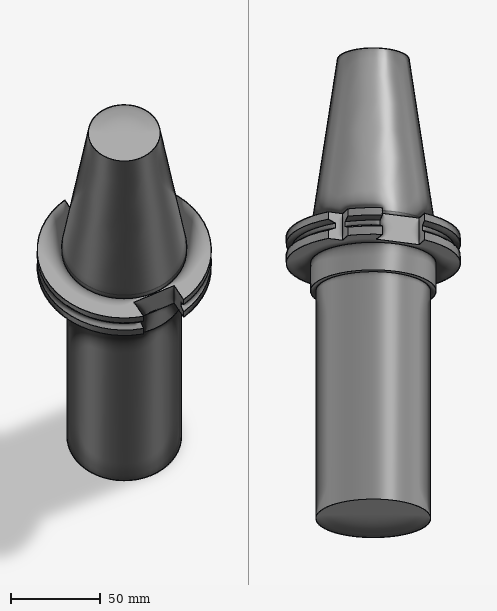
import cadquery as cq
import math

total_length = 271.8
taper_length = 101.5
gauge_band_height = 3.3
flange_thickness = 15.8
collar_height = 16.3
gauge_z = total_length - taper_length
flange_top_z = gauge_z - gauge_band_height
flange_bottom_z = flange_top_z - flange_thickness
collar_bottom_z = flange_bottom_z - collar_height

gauge_diameter = 69.8
collar_diameter = 70.0
shank_diameter = 64.0
flange_diameter = 97.3
taper_ratio = 7 / 24
taper_tip_diameter = gauge_diameter - taper_length * taper_ratio

groove_depth = 3.3
groove_flank_angle = 30
upper_rim_height = 4.3
lower_rim_height = 5.0
flank_rise = groove_depth * math.tan(math.radians(groove_flank_angle))

slot_width = 25.3
left_slot_floor = 38.3
right_slot_floor = 35.5
notch_x = 30.0
notch_y = 30.0


def turned_body():
    """Revolve the half section of shank, collar, grooved flange and taper."""
    flange_radius = flange_diameter / 2
    groove_radius = flange_radius - groove_depth
    groove_top_z = flange_top_z - upper_rim_height
    groove_bottom_z = flange_bottom_z + lower_rim_height
    section = [
        (0, 0),
        (shank_diameter / 2, 0),
        (shank_diameter / 2, collar_bottom_z),
        (collar_diameter / 2, collar_bottom_z),
        (collar_diameter / 2, flange_bottom_z),
        (flange_radius, flange_bottom_z),
        (flange_radius, groove_bottom_z),
        (groove_radius, groove_bottom_z + flank_rise),
        (groove_radius, groove_top_z - flank_rise),
        (flange_radius, groove_top_z),
        (flange_radius, flange_top_z),
        (gauge_diameter / 2, flange_top_z),
        (gauge_diameter / 2, gauge_z),
        (taper_tip_diameter / 2, total_length),
        (0, total_length),
    ]
    return cq.Workplane("XZ").polyline(section).close().revolve(360, (0, 0, 0), (0, 1, 0))


def flange_cutter(corner, opposite_corner):
    """Rectangular cutter through the full flange thickness."""
    x_size = abs(opposite_corner[0] - corner[0])
    y_size = abs(opposite_corner[1] - corner[1])
    x_min = min(corner[0], opposite_corner[0])
    y_min = min(corner[1], opposite_corner[1])
    box = cq.Workplane("XY").box(x_size, y_size, flange_thickness, centered=False)
    return box.translate((x_min, y_min, flange_bottom_z))


result = turned_body()

for slot_floor_x, side in ((-left_slot_floor, -1), (right_slot_floor, 1)):
    slot = flange_cutter((slot_floor_x, -slot_width / 2), (side * flange_diameter, slot_width / 2))
    result = result.cut(slot)

result = result.cut(flange_cutter((-notch_x, notch_y), (-flange_diameter, flange_diameter)))